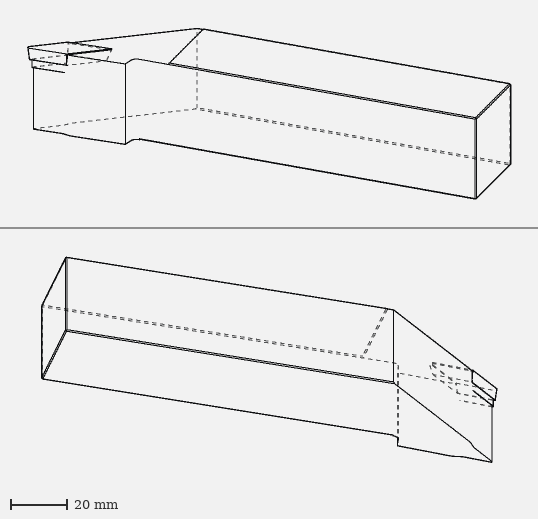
import cadquery as cq
import math

overall_length = 170.0
shank_size = 32.0
shank_chamfer = 0.42
shank_start_x = 40.1
raised_top_x = 51.2

front_angle = 3.0
point_angle = 35.0
insert_side = 16.7
insert_thickness = 4.8
insert_relief = 7.0
nose_radius = 0.8
nose_overhang = 7.5

shim_thickness = 3.0
shim_inset = 0.76
small_nose_radius = 0.3

head_corner_x = 37.0
neck_wall_angle = 80.0
neck_fillet = 2.4
blade_inset = 0.94
blend_start = 14.0
blend_end = 19.0

flank_angle = front_angle + point_angle
bisector_angle = front_angle + point_angle / 2
half_point_sine = math.sin(math.radians(point_angle / 2))
insert_bottom_z = shank_size - insert_thickness
shim_bottom_z = insert_bottom_z - shim_thickness
head_height = shank_size - shank_chamfer


def step_from(point, angle, distance):
    """Move from a point by a distance in a direction given in degrees."""
    direction = math.radians(angle)
    return (point[0] + distance * math.cos(direction), point[1] + distance * math.sin(direction))


nose_centre = (nose_radius, nose_radius - nose_overhang)
sharp_point = step_from(nose_centre, bisector_angle, -nose_radius / half_point_sine)


def front_point(along, inset=0.0):
    """Point beside the front edge, inset towards the inside of the insert."""
    return step_from(step_from(sharp_point, front_angle, along), front_angle + 90, inset)


def flank_point(along, inset=0.0):
    """Point beside the flank edge, inset towards the inside of the insert."""
    return step_from(step_from(sharp_point, flank_angle, along), flank_angle - 90, inset)


def nose_points(inset, radius):
    """Flank tangent, foremost and front tangent points of a rounded nose."""
    centre = step_from(sharp_point, bisector_angle, (inset + radius) / half_point_sine)
    return (
        step_from(centre, flank_angle + 90, radius),
        step_from(centre, bisector_angle + 180, radius),
        step_from(centre, front_angle - 90, radius),
    )


def rhombus(bottom_z, inset, radius):
    """Insert-shaped outline with one round nose and all sides moved inwards."""
    side = insert_side - 2 * inset / math.sin(math.radians(point_angle))
    corner = step_from(sharp_point, bisector_angle, inset / half_point_sine)
    front_corner = step_from(corner, front_angle, side)
    back_corner = step_from(front_corner, flank_angle, side)
    flank_corner = step_from(corner, flank_angle, side)
    flank_tangent, nose_tip, front_tangent = nose_points(inset, radius)
    return (
        cq.Workplane("XY", origin=(0, 0, bottom_z))
        .moveTo(*front_tangent)
        .lineTo(*front_corner)
        .lineTo(*back_corner)
        .lineTo(*flank_corner)
        .lineTo(*flank_tangent)
        .threePointArc(nose_tip, front_tangent)
        .close()
    )


def make_insert():
    """Rhombic insert that narrows downwards from its cutting edges."""
    return rhombus(shank_size, 0.0, nose_radius).extrude(-insert_thickness, taper=insert_relief)


def make_shank():
    """Square bar with its long edges and far end chamfered."""
    return (
        cq.Workplane("XY")
        .box(overall_length - shank_start_x, shank_size, shank_size, centered=False)
        .translate((shank_start_x, 0, 0))
        .edges("|X or >X")
        .chamfer(shank_chamfer)
    )


def make_head():
    """Head with a narrow blade, S-shaped blends and a filleted neck."""
    blend_middle = (blend_start + blend_end) / 2
    middle_inset = blade_inset / 2
    flank_tangent, nose_tip, front_tangent = nose_points(blade_inset, small_nose_radius)

    corner_along = (head_corner_x - sharp_point[0]) / math.cos(math.radians(front_angle))
    head_corner = front_point(corner_along)
    fillet_start_y = -neck_fillet * (1 - math.cos(math.radians(neck_wall_angle)))
    wall_length = (fillet_start_y - head_corner[1]) / math.sin(math.radians(neck_wall_angle))
    fillet_start = step_from(head_corner, neck_wall_angle, wall_length)
    fillet_centre_x = fillet_start[0] + neck_fillet * math.sin(math.radians(neck_wall_angle))
    fillet_middle = step_from((fillet_centre_x, -neck_fillet), 90 + neck_wall_angle / 2, neck_fillet)

    flank_rise = math.tan(math.radians(flank_angle))
    flank_end = (shank_start_x, sharp_point[1] + (shank_start_x - sharp_point[0]) * flank_rise)
    return (
        cq.Workplane("XY")
        .moveTo(*front_tangent)
        .lineTo(*front_point(blend_start, blade_inset))
        .tangentArcPoint(front_point(blend_middle, middle_inset), relative=False)
        .tangentArcPoint(front_point(blend_end), relative=False)
        .lineTo(*head_corner)
        .lineTo(*fillet_start)
        .threePointArc(fillet_middle, (fillet_centre_x, 0))
        .lineTo(shank_start_x, 0)
        .lineTo(*flank_end)
        .lineTo(*flank_point(blend_end))
        .tangentArcPoint(flank_point(blend_middle, middle_inset), relative=False)
        .tangentArcPoint(flank_point(blend_start, blade_inset), relative=False)
        .lineTo(*flank_tangent)
        .threePointArc(nose_tip, front_tangent)
        .close()
        .extrude(head_height)
    )


def make_flank_cutter():
    """Wedge that carries the head's flank face on across the shank corner."""
    top_run = (shank_size - sharp_point[1]) / math.tan(math.radians(flank_angle))
    flank_top = (sharp_point[0] + top_run, shank_size)
    return (
        cq.Workplane("XY")
        .polyline([sharp_point, flank_top, (sharp_point[0], shank_size)])
        .close()
        .extrude(shank_size)
    )


def make_top_step_cutter():
    """Lowers the top of the head, with a sloped face up to the shank."""
    return (
        cq.Workplane("XZ")
        .moveTo(0, head_height)
        .lineTo(raised_top_x, head_height)
        .lineTo(raised_top_x + shank_chamfer, shank_size)
        .lineTo(0, shank_size)
        .close()
        .extrude(-shank_size)
    )


def make_holder(insert):
    """Shank and head with the shim seat, pocketed for the insert."""
    shim = rhombus(shim_bottom_z, shim_inset, small_nose_radius).extrude(shim_thickness)
    body = make_shank().cut(make_flank_cutter()).cut(make_top_step_cutter())
    return body.union(make_head()).union(shim).cut(insert)


insert = make_insert()
holder = make_holder(insert)
result = cq.Compound.makeCompound([holder.val(), insert.val()])